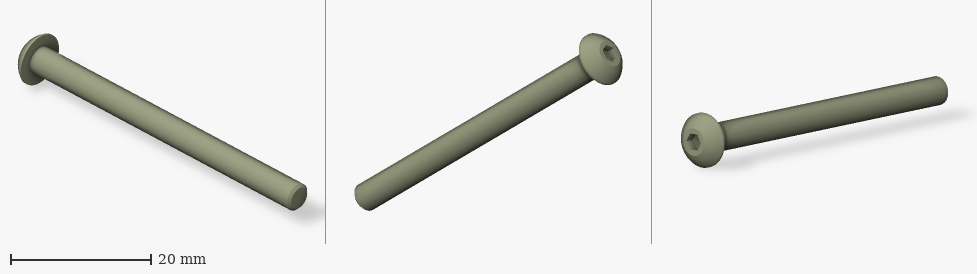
import cadquery as cq
import math

SHANK_DIAMETER = 4.17
SHANK_LENGTH = 50.8
TIP_CHAMFER = 0.4

HEAD_DIAMETER = 7.92
HEAD_HEIGHT = 2.21
HEAD_RIM_THICKNESS = 0.3
HEAD_FLAT_DIAMETER = HEAD_DIAMETER / 2

SOCKET_ACROSS_FLATS = 2.38
SOCKET_DEPTH = 1.32
SOCKET_POINT_ANGLE = 120.0

HEAD_TOP_X = -HEAD_HEIGHT


def dome_midpoint():
    """Point (x, radius) halfway along the spherical dome, whose centre is on the axis."""
    rim_radius = HEAD_DIAMETER / 2
    flat_radius = HEAD_FLAT_DIAMETER / 2
    rim_x = -HEAD_RIM_THICKNESS
    center_x = (rim_x**2 + rim_radius**2 - HEAD_TOP_X**2 - flat_radius**2) / (2 * (rim_x - HEAD_TOP_X))
    sphere_radius = math.hypot(rim_x - center_x, rim_radius)
    rim_angle = math.atan2(rim_radius, rim_x - center_x)
    flat_angle = math.atan2(flat_radius, HEAD_TOP_X - center_x)
    middle_angle = (rim_angle + flat_angle) / 2
    return (
        center_x + sphere_radius * math.cos(middle_angle),
        sphere_radius * math.sin(middle_angle),
    )


def make_body():
    """Head, shank and chamfered tip as one half profile turned about the X axis."""
    head_radius = HEAD_DIAMETER / 2
    shank_radius = SHANK_DIAMETER / 2
    return (
        cq.Workplane("XY")
        .moveTo(HEAD_TOP_X, 0)
        .lineTo(HEAD_TOP_X, HEAD_FLAT_DIAMETER / 2)
        .threePointArc(dome_midpoint(), (-HEAD_RIM_THICKNESS, head_radius))
        .lineTo(0, head_radius)
        .lineTo(0, shank_radius)
        .lineTo(SHANK_LENGTH - TIP_CHAMFER, shank_radius)
        .lineTo(SHANK_LENGTH, shank_radius - TIP_CHAMFER)
        .lineTo(SHANK_LENGTH, 0)
        .close()
        .revolve(360, (0, 0, 0), (1, 0, 0))
    )


def make_socket():
    """Hexagonal socket with corners toward +Y and -Y, ending in a conical floor."""
    across_corners = SOCKET_ACROSS_FLATS / math.cos(math.pi / 6)
    corner_radius = across_corners / 2
    cone_height = corner_radius / math.tan(math.radians(SOCKET_POINT_ANGLE / 2))
    hexagon = (
        cq.Workplane("YZ", origin=(HEAD_TOP_X, 0, 0))
        .polygon(6, across_corners)
        .extrude(SOCKET_DEPTH + cone_height)
    )
    pointed_envelope = (
        cq.Workplane("XY")
        .moveTo(HEAD_TOP_X, 0)
        .lineTo(HEAD_TOP_X, corner_radius)
        .lineTo(HEAD_TOP_X + SOCKET_DEPTH, corner_radius)
        .lineTo(HEAD_TOP_X + SOCKET_DEPTH + cone_height, 0)
        .close()
        .revolve(360, (0, 0, 0), (1, 0, 0))
    )
    return hexagon.intersect(pointed_envelope)


result = make_body().cut(make_socket())